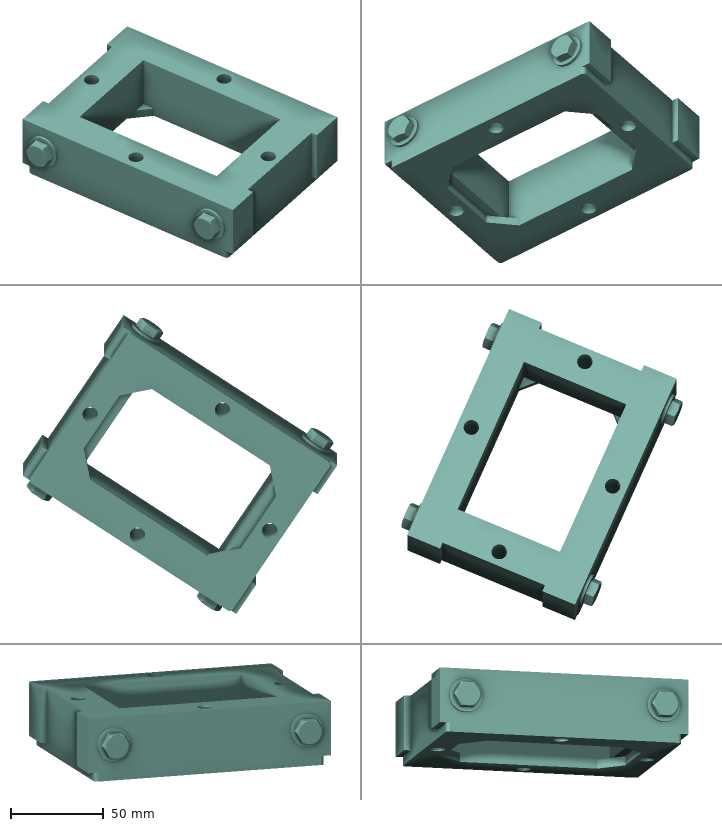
import cadquery as cq
import math

LENGTH_X = 138.0
WIDTH_Y = 98.4
TOTAL_Y = 111.9
TOTAL_Z = 35.0
PLATE_THICKNESS = 5.0
LONG_BEAM_DEPTH = 19.2
CROSS_BEAM_DEPTH = 20.4
CROSS_BEAM_SPACING = 110.4
NOTCH_DEPTH = 6.3
BOLT_SPACING = 110.0
PLATE_CORNER_RADIUS = 2.1
OPENING_CHAMFER = 12.5
MOUNTING_HOLE_DIAMETER = 8.3
HOLE_SPACING_X = 116.0
HOLE_SPACING_Y = 83.0
FLANGE_DIAMETER = 18.0
FLANGE_THICKNESS = 1.5
WASHER_FACE_DIAMETER = 11.5
WASHER_FACE_THICKNESS = 0.4
HEX_ACROSS_FLATS = 13.0
HEX_CHAMFER_ANGLE = 30.0

BEAM_HEIGHT = TOTAL_Z - PLATE_THICKNESS
OPENING_Y = WIDTH_Y - 2 * LONG_BEAM_DEPTH
PLATE_X = CROSS_BEAM_SPACING + CROSS_BEAM_DEPTH
PLATE_OPENING_X = 2 * HOLE_SPACING_X - PLATE_X
CROSS_BEAM_LENGTH = OPENING_Y + 2 * NOTCH_DEPTH
LONG_BEAM_Y = (WIDTH_Y - LONG_BEAM_DEPTH) / 2
CROSS_BEAM_X = CROSS_BEAM_SPACING / 2
HOLE_X = HOLE_SPACING_X / 2
HOLE_Y = HOLE_SPACING_Y / 2
BOLT_LENGTH = (TOTAL_Y - WIDTH_Y) / 2
HEX_BASE = FLANGE_THICKNESS + WASHER_FACE_THICKNESS
HEX_ACROSS_CORNERS = HEX_ACROSS_FLATS / math.cos(math.pi / 6)


def upright_box(size_x, size_y, height):
    """Box centred in X and Y that stands on Z = 0."""
    return cq.Workplane("XY").box(size_x, size_y, height, centered=(True, True, False))


mounting_holes = (
    cq.Workplane("XY", origin=(0, 0, -PLATE_THICKNESS))
    .pushPoints([(-HOLE_X, 0), (HOLE_X, 0), (0, -HOLE_Y), (0, HOLE_Y)])
    .circle(MOUNTING_HOLE_DIAMETER / 2)
    .extrude(TOTAL_Z)
)


def cross_beam_block(side):
    """Full block of a cross beam, also the shape of the notches it fills."""
    block = upright_box(CROSS_BEAM_DEPTH, CROSS_BEAM_LENGTH, BEAM_HEIGHT)
    return block.translate((side * CROSS_BEAM_X, 0, 0))


def make_cross_beam(side):
    return cross_beam_block(side).cut(mounting_holes)


def make_long_beam(side):
    beam = upright_box(LENGTH_X, LONG_BEAM_DEPTH, BEAM_HEIGHT)
    beam = beam.translate((0, side * LONG_BEAM_Y, 0))
    for notch_side in (-1, 1):
        beam = beam.cut(cross_beam_block(notch_side))
    return beam.cut(mounting_holes)


def make_plate():
    """Base frame under the beams, its opening chamfered at the corners."""
    plate = upright_box(PLATE_X, WIDTH_Y, PLATE_THICKNESS).edges("|Z").fillet(PLATE_CORNER_RADIUS)
    opening = upright_box(PLATE_OPENING_X, OPENING_Y, PLATE_THICKNESS).edges("|Z").chamfer(OPENING_CHAMFER)
    return plate.cut(opening).translate((0, 0, -PLATE_THICKNESS)).cut(mounting_holes)


def make_bolt(side_x, side_y):
    """Flanged hexagon bolt head, seated on the outer face of a long beam."""
    flange = cq.Workplane("XY").circle(FLANGE_DIAMETER / 2).extrude(FLANGE_THICKNESS)
    washer_face = cq.Workplane("XY").circle(WASHER_FACE_DIAMETER / 2).extrude(HEX_BASE)
    head = (
        cq.Workplane("XY", origin=(0, 0, HEX_BASE))
        .polygon(6, HEX_ACROSS_CORNERS)
        .extrude(BOLT_LENGTH - HEX_BASE)
    )
    top_radius = HEX_ACROSS_FLATS / 2
    corner_radius = HEX_ACROSS_CORNERS / 2
    chamfer_drop = (corner_radius - top_radius) * math.tan(math.radians(HEX_CHAMFER_ANGLE))
    trim = (
        cq.Workplane("XZ")
        .polyline([
            (0, 0),
            (corner_radius, 0),
            (corner_radius, BOLT_LENGTH - chamfer_drop),
            (top_radius, BOLT_LENGTH),
            (0, BOLT_LENGTH),
        ])
        .close()
        .revolve(360, (0, 0, 0), (0, 1, 0))
    )
    bolt = flange.union(washer_face).union(head.intersect(trim))
    bolt = bolt.rotate((0, 0, 0), (1, 0, 0), -side_y * 90)
    return bolt.translate((side_x * BOLT_SPACING / 2, side_y * WIDTH_Y / 2, BEAM_HEIGHT / 2))


SIDES = (-1, 1)
plate = make_plate()
long_beams = [make_long_beam(side) for side in SIDES]
cross_beams = [make_cross_beam(side) for side in SIDES]
bolts = [make_bolt(side_x, side_y) for side_x in SIDES for side_y in SIDES]

bodies = [plate, *long_beams, *cross_beams, *bolts]
result = cq.Compound.makeCompound([body.val() for body in bodies])